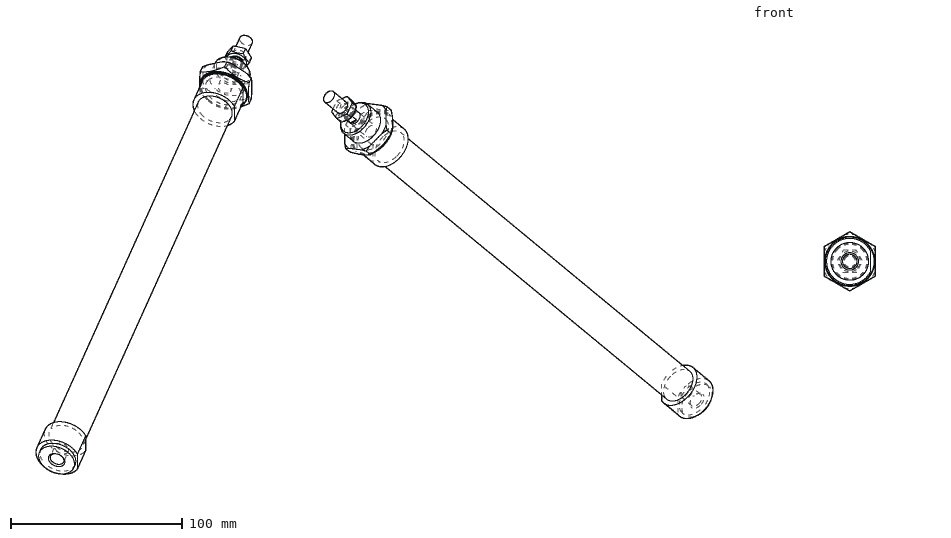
import cadquery as cq
import math


tube_diameter = 21.2
cap_diameter = 27.0
cap_length = 16.0
cap_flat_offset = 12.0
housing_length = 318.0
boss_diameter = 22.0
boss_length = 2.5
neck_diameter = 22.0
neck_length = 18.6
neck_chamfer = 1.0

port_diameter = 8.4
port_depth = 10.0
port_chamfer = 0.9
drill_tip_angle = 118.0

rod_diameter = 8.0
rod_reach = 44.0
thread_length = 18.0
undercut_diameter = 6.5
undercut_length = 1.9
flats_length = 4.2
flats_width = 6.5
rod_depth = 16.0

mounting_nut_width = 30.0
mounting_nut_thickness = 8.0
washer_face_diameter = 28.5
washer_face_thickness = 0.9
mounting_nut_front_chamfer = 1.0
mounting_nut_rear_chamfer = 1.9
rod_nut_width = 13.0
rod_nut_thickness = 5.2
rod_nut_start = 26.0
rod_nut_front_chamfer = 0.2
rod_nut_rear_chamfer = 1.0
nut_chamfer_angle = 35.0


def cylinder(diameter, start, length):
    """Solid cylinder on the Y axis from Y = start towards +Y."""
    plane = cq.Plane(origin=(0, start, 0), xDir=(1, 0, 0), normal=(0, 1, 0))
    return cq.Workplane(plane).circle(diameter / 2).extrude(length)


def hexagon(width, start, length, turn):
    """Hexagonal bar on the Y axis; corners lie along X, or along Z when turned by 90 degrees."""
    plane = cq.Plane(origin=(0, start, 0), xDir=(1, 0, 0), normal=(0, 1, 0))
    corner_width = width / math.cos(math.radians(30))
    bar = cq.Workplane(plane).polygon(6, corner_width).extrude(length)
    return bar.rotate((0, 0, 0), (0, 1, 0), turn)


def make_rear_port():
    rear_face = -housing_length - boss_length
    radius = port_diameter / 2
    tip_height = radius / math.tan(math.radians(drill_tip_angle / 2))
    profile = (
        cq.Workplane("XY")
        .moveTo(0, rear_face)
        .lineTo(radius + port_chamfer, rear_face)
        .lineTo(radius, rear_face + port_chamfer)
        .lineTo(radius, rear_face + port_depth)
        .lineTo(0, rear_face + port_depth + tip_height)
        .close()
    )
    return profile.revolve(360, (0, 0, 0), (0, 1, 0))


def make_cap_flat():
    """Block of material beyond the +X flat, as long as the housing."""
    return cq.Workplane("XY").box(cap_diameter, housing_length, cap_diameter).translate(
        (cap_flat_offset + cap_diameter / 2, -housing_length / 2, 0)
    )


def make_housing():
    tube = cylinder(tube_diameter, -housing_length, housing_length)
    front_cap = cylinder(cap_diameter, -cap_length, cap_length)
    rear_cap = cylinder(cap_diameter, -housing_length, cap_length)
    caps = front_cap.union(rear_cap).cut(make_cap_flat())
    boss = cylinder(boss_diameter, -housing_length - boss_length, boss_length)
    neck = cylinder(neck_diameter, 0, neck_length).faces(">Y").chamfer(neck_chamfer)
    rod_bore = cylinder(rod_diameter, neck_length - rod_depth, rod_depth)
    solid = tube.union(caps).union(boss).union(neck)
    return solid.cut(rod_bore).cut(make_rear_port())


def make_rod():
    thread_start = rod_reach - thread_length
    undercut_start = thread_start - undercut_length
    shank_start = neck_length - rod_depth
    shank = cylinder(rod_diameter, shank_start, undercut_start - shank_start)
    flats_start = undercut_start - flats_length
    for side in (-1, 1):
        flat = cq.Workplane("XY").box(rod_diameter, flats_length, rod_diameter).translate(
            (0, flats_start + flats_length / 2, side * (flats_width + rod_diameter) / 2)
        )
        shank = shank.cut(flat)
    undercut = cylinder(undercut_diameter, undercut_start, undercut_length)
    thread = cylinder(rod_diameter, thread_start, thread_length)
    return shank.union(undercut).union(thread)


def corner_envelope(width, start, thickness, front_chamfer, rear_chamfer):
    """Round body, chamfered at both ends, that trims the corners of a hexagonal nut.

    Each chamfer is given along Y and slopes at the nut chamfer angle.
    """
    end = start + thickness
    radius = width / 2 / math.cos(math.radians(30))
    slope = math.tan(math.radians(nut_chamfer_angle))
    profile = (
        cq.Workplane("XY")
        .moveTo(0, start)
        .lineTo(radius - rear_chamfer / slope, start)
        .lineTo(radius, start + rear_chamfer)
        .lineTo(radius, end - front_chamfer)
        .lineTo(radius - front_chamfer / slope, end)
        .lineTo(0, end)
        .close()
    )
    return profile.revolve(360, (0, 0, 0), (0, 1, 0))


def make_mounting_nut():
    hexagon_thickness = mounting_nut_thickness - washer_face_thickness
    bar = hexagon(mounting_nut_width, washer_face_thickness, hexagon_thickness, 90)
    envelope = corner_envelope(
        mounting_nut_width,
        washer_face_thickness,
        hexagon_thickness,
        mounting_nut_front_chamfer,
        mounting_nut_rear_chamfer,
    )
    washer_face = cylinder(washer_face_diameter, 0, washer_face_thickness)
    bore = cylinder(neck_diameter, 0, mounting_nut_thickness)
    return bar.intersect(envelope).union(washer_face).cut(bore)


def make_rod_nut():
    bar = hexagon(rod_nut_width, rod_nut_start, rod_nut_thickness, 0)
    envelope = corner_envelope(
        rod_nut_width,
        rod_nut_start,
        rod_nut_thickness,
        rod_nut_front_chamfer,
        rod_nut_rear_chamfer,
    )
    return bar.intersect(envelope).cut(cylinder(rod_diameter, rod_nut_start, rod_nut_thickness))


housing = make_housing()
rod = make_rod()
mounting_nut = make_mounting_nut()
rod_nut = make_rod_nut()

result = cq.Compound.makeCompound(
    [housing.val(), rod.val(), mounting_nut.val(), rod_nut.val()]
)